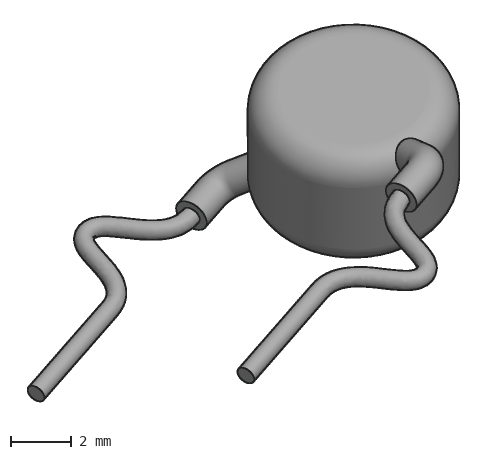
import cadquery as cq
import math

disc_diameter = 7.0
disc_height = 5.0
disc_edge_radius = 1.0

lead_diameter = 0.66
sleeve_diameter = 1.2
lead_offset_x = 4.11
lead_offset_z = (disc_height + lead_diameter) / 2

mouth_y = -disc_diameter / 2
sleeve_straight_length = 1.15
kink_length = 5.0
lead_tip_length = 4.5
bend_end_y = mouth_y + sleeve_straight_length
kink_peak_y = mouth_y - kink_length / 2
kink_end_y = mouth_y - kink_length
tip_y = kink_end_y - lead_tip_length

overall_width = 13.9
kink_peak_x = (overall_width - lead_diameter) / 2
kink_end_handle = 1.72
kink_peak_handle = 1.0

bend_radius = 0.89
bend_angle = math.radians(66)
arm_dip_angle = math.radians(36)
arm_length = 1.48


def bend_point(angle):
    """Point on the bend after turning by the given angle from the +Y direction."""
    sideways = bend_radius * (1 - math.cos(angle))
    return cq.Vector(
        lead_offset_x - sideways * math.cos(arm_dip_angle),
        bend_end_y + bend_radius * math.sin(angle),
        lead_offset_z - sideways * math.sin(arm_dip_angle),
    )


arm_direction = cq.Vector(
    -math.sin(bend_angle) * math.cos(arm_dip_angle),
    math.cos(bend_angle),
    -math.sin(bend_angle) * math.sin(arm_dip_angle),
)
arm_outer_end = bend_point(bend_angle)
arm_inner_end = arm_outer_end + arm_direction * arm_length


def lead_point(x, y):
    """Point in the level plane of the upper lead."""
    return cq.Vector(x, y, lead_offset_z)


def coated_edges():
    """Centre line inside the disc and the sleeve: arm, bend and straight run."""
    bend_start = bend_point(0)
    return [
        cq.Edge.makeLine(arm_inner_end, arm_outer_end),
        cq.Edge.makeThreePointArc(arm_outer_end, bend_point(bend_angle / 2), bend_start),
        cq.Edge.makeLine(bend_start, lead_point(lead_offset_x, mouth_y)),
    ]


def bare_edges():
    """Centre line of the bare wire: out to the kink peak, back in, straight to the tip."""
    kink_out = cq.Edge.makeBezier([
        lead_point(lead_offset_x, mouth_y),
        lead_point(lead_offset_x, mouth_y - kink_end_handle),
        lead_point(kink_peak_x, kink_peak_y + kink_peak_handle),
        lead_point(kink_peak_x, kink_peak_y),
    ])
    kink_back = cq.Edge.makeBezier([
        lead_point(kink_peak_x, kink_peak_y),
        lead_point(kink_peak_x, kink_peak_y - kink_peak_handle),
        lead_point(lead_offset_x, kink_end_y + kink_end_handle),
        lead_point(lead_offset_x, kink_end_y),
    ])
    tip = cq.Edge.makeLine(lead_point(lead_offset_x, kink_end_y), lead_point(lead_offset_x, tip_y))
    return [kink_out, kink_back, tip]


def round_sweep(diameter, edges):
    """Round bar that starts at the inner end of the arm and follows the edges."""
    path = cq.Workplane(cq.Wire.assembleEdges(edges))
    start_plane = cq.Plane(origin=arm_inner_end, normal=arm_direction * -1)
    return cq.Workplane(start_plane).circle(diameter / 2).sweep(path)


def place_on_side(shape, turn):
    """Turn a shape about the Y axis: 0 for the upper right side, 180 for the lower left."""
    return shape.rotate((0, 0, 0), (0, 1, 0), turn)


side_turns = [0, 180]

upper_lead = round_sweep(lead_diameter, coated_edges() + bare_edges())
leads = [place_on_side(upper_lead, turn) for turn in side_turns]

coating = (
    cq.Workplane("XY")
    .cylinder(disc_height, disc_diameter / 2)
    .faces("|Z").edges().fillet(disc_edge_radius)
)
upper_sleeve = round_sweep(sleeve_diameter, coated_edges())
for turn in side_turns:
    coating = coating.union(place_on_side(upper_sleeve, turn))
for lead in leads:
    coating = coating.cut(lead)

result = cq.Compound.makeCompound([coating.val(), *[lead.val() for lead in leads]])